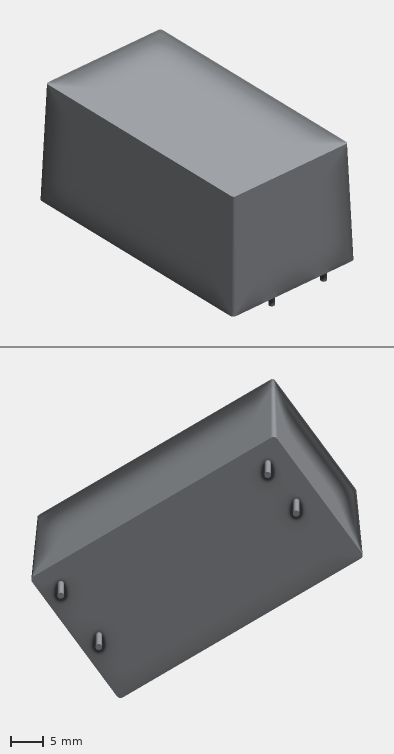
import cadquery as cq

base_length = 45.7
base_width = 25.4
housing_height = 21.5
taper_inset = 0.78
base_corner_radius = 0.7
top_corner_radius = 0.45

overall_height = 25.5
pin_length = overall_height - housing_height
pin_diameter = 1.05
pin_row_x = 19.3
shared_pin_y = 9.28
left_inner_pin_y = 1.2
right_inner_pin_y = -1.5
pin_positions = [
    (-pin_row_x, shared_pin_y),
    (-pin_row_x, left_inner_pin_y),
    (pin_row_x, shared_pin_y),
    (pin_row_x, right_inner_pin_y),
]


def rounded_rectangle(length, width, corner_radius):
    """Centred rectangle with rounded corners."""
    return cq.Sketch().rect(length, width).vertices().fillet(corner_radius)


def make_housing():
    """Loft from the base outline to the smaller top outline."""
    base = rounded_rectangle(base_length, base_width, base_corner_radius)
    top_length = base_length - 2 * taper_inset
    top_width = base_width - 2 * taper_inset
    top = rounded_rectangle(top_length, top_width, top_corner_radius)
    top = top.moved(cq.Location(cq.Vector(0, 0, housing_height)))
    return cq.Workplane("XY").placeSketch(base, top).loft(ruled=True)


def make_pin(x, y):
    """Round pin hanging from the housing base."""
    return cq.Workplane("XY").center(x, y).circle(pin_diameter / 2).extrude(-pin_length)


housing = make_housing()
pins = [make_pin(x, y) for x, y in pin_positions]

result = cq.Compound.makeCompound([housing.val(), *[pin.val() for pin in pins]])